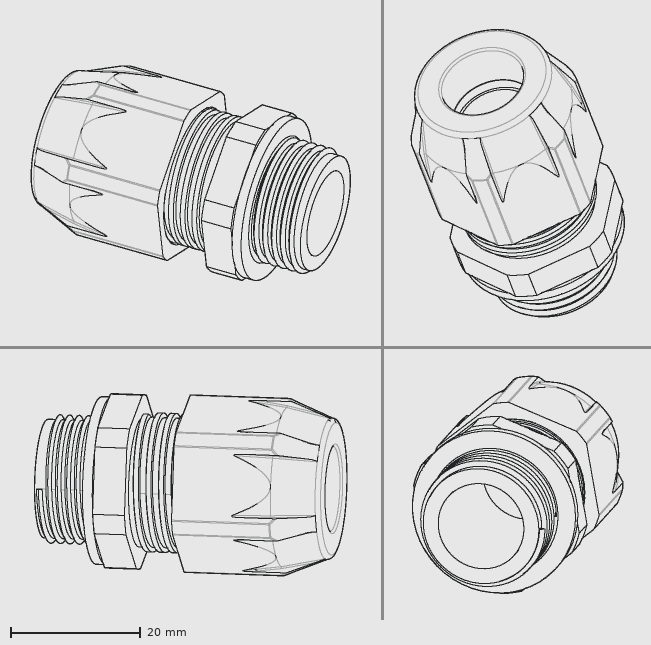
import cadquery as cq
import math

overall_length = 45.4
hex_flats = 24.98
hex_turn = 10.0
flat_angle = 60.0
corner_count = 6

cap_length = 22.95
cap_corner_radius = 13.75
cap_nose_radius = 11.0
cap_nose_fillet = 0.73
cap_shoulder_x = 7.5
cap_hole_diameter = 13.15
cap_hole_fillet = 0.35
cap_edge_fillet = 0.45
cap_wall = 7.25
cap_bore_diameter = 22.05

hollow_tip_x = 14.08
hollow_half_width = 4.9
hollow_wall_slope = 12.0
hollow_fillet = 0.23

neck_diameter = 20.15
neck_start_x = 10.9
hex_start_x = 30.4
hex_end_x = 35.4
hex_corner_radius = 13.55
collar_diameter = 20.45
entry_diameter = 18.45
body_bore_diameter = 13.65

gasket_diameter = 26.0
gasket_end_x = 37.05

neck_thread_diameter = 21.6
neck_thread_pitch = 2.0
neck_thread_base = 1.0
neck_thread_crest = 0.8
neck_thread_turns = 7
neck_thread_end_x = 29.55
runout_start_y = 0.45
runout_end_y = -1.73

entry_thread_diameter = 20.0
entry_thread_pitch = 1.5
entry_thread_base = 0.9
entry_thread_start_x = 37.15
entry_thread_turns = 5
entry_thread_start_turn = -90.0

seal_diameter = 16.8
seal_hole_diameter = 13.15
seal_end_x = 16.35
seal_face_x = 8.85
seal_face_diameter = 11.9
seal_rim_x = 9.1

joint_gap = 0.1

thread_sink = 0.15
overlap = 0.45


def cylinder(start_x, end_x, diameter):
    return cq.Workplane("YZ").workplane(offset=start_x).circle(diameter / 2).extrude(end_x - start_x)


def revolved(points):
    """Turn an (x, radius) outline about the X axis."""
    return cq.Workplane("XY").polyline(points).close().revolve(360, (0, 0, 0), (1, 0, 0))


def rounded_hexagon(start_x, end_x, corner_radius):
    """Hexagonal prism whose corners are cut to a common cylinder."""
    prism = (
        cq.Workplane("YZ")
        .workplane(offset=start_x)
        .polygon(corner_count, hex_flats / math.cos(math.radians(flat_angle / 2)))
        .extrude(end_x - start_x)
        .rotate((0, 0, 0), (1, 0, 0), flat_angle / 2 + hex_turn)
    )
    return prism.intersect(cylinder(start_x, end_x, 2 * corner_radius))


def thread_ridge(start_x, turns, pitch, root_diameter, crest_diameter, base_width, crest_width, start_turn):
    """Right-handed ridge that starts above the axis, turned by start_turn degrees about X."""
    root = root_diameter / 2
    crest = crest_diameter / 2
    flank = (base_width - crest_width) / 2 / (crest - root)
    foot = root - thread_sink
    foot_half = base_width / 2 + flank * thread_sink
    outline = [(foot, -foot_half), (crest, -crest_width / 2)]
    if crest_width > 0:
        outline.append((crest, crest_width / 2))
    outline.append((foot, foot_half))
    path = cq.Wire.makeHelix(pitch, turns * pitch, root)
    ridge = cq.Workplane("XZ").polyline(outline).close().sweep(cq.Workplane(path), isFrenet=True)
    return (
        ridge.rotate((0, 0, 0), (0, 1, 0), 90)
        .rotate((0, 0, 0), (1, 0, 0), 180 + start_turn)
        .translate((start_x, 0, 0))
    )


def nose_hollow():
    """Cutter for the hollow on the +Y flat: two cones as floor, two sloping planes as walls."""
    flat = hex_flats / 2
    tip_radius = math.hypot(flat, hollow_half_width)
    tip_slope = (tip_radius - flat) / (hollow_tip_x - cap_shoulder_x)
    back_x = hollow_tip_x + 3 * overlap
    back_radius = tip_radius + tip_slope * (back_x - hollow_tip_x)
    outer_radius = cap_corner_radius + 5 * overlap
    outside_floor = revolved([
        (cap_nose_fillet, cap_nose_radius),
        (cap_shoulder_x, flat),
        (back_x, back_radius),
        (back_x, outer_radius),
        (cap_nose_fillet, outer_radius),
    ])
    wall_lean = math.tan(math.radians(hollow_wall_slope))
    top_y = cap_corner_radius + 2 * overlap
    top_half = hollow_half_width + (top_y - flat) * wall_lean
    bottom_half = hollow_half_width - flat * wall_lean
    between_walls = (
        cq.Workplane("YZ")
        .polyline([(0, -bottom_half), (top_y, -top_half), (top_y, top_half), (0, bottom_half)])
        .close()
        .extrude(back_x + overlap)
    )
    hollow = outside_floor.intersect(between_walls)
    floor_edges = []
    for edge in hollow.edges().vals():
        middle = edge.Center()
        radius = math.hypot(middle.y, middle.z)
        if abs(middle.z) > bottom_half and radius < back_radius and cap_nose_fillet < middle.x < back_x:
            floor_edges.append(edge)
    return hollow.newObject(floor_edges).fillet(hollow_fillet)


def cap_blank():
    """Solid cap nut: a rounded hexagon with a tapered and rounded nose."""
    turned_shape = (
        cq.Workplane("XY")
        .moveTo(0, 0)
        .lineTo(0, cap_nose_radius - cap_nose_fillet)
        .radiusArc((cap_nose_fillet, cap_nose_radius), cap_nose_fillet)
        .lineTo(cap_shoulder_x, cap_corner_radius)
        .lineTo(cap_length, cap_corner_radius)
        .lineTo(cap_length, 0)
        .close()
        .revolve(360, (0, 0, 0), (1, 0, 0))
    )
    blank = rounded_hexagon(0, cap_length, cap_corner_radius).intersect(turned_shape)
    lobe_edges = []
    for edge in blank.edges().vals():
        if 2 * cap_nose_fillet < edge.Center().x < cap_length - overlap:
            lobe_edges.append(edge)
    return blank.newObject(lobe_edges).fillet(cap_edge_fillet)


def make_cap():
    cap = cap_blank()
    hollow = nose_hollow()
    for i in range(corner_count):
        cap = cap.cut(hollow.rotate((0, 0, 0), (1, 0, 0), hex_turn + i * flat_angle))
    cap = cap.cut(cylinder(-overlap, cap_length, cap_hole_diameter))
    cap = cap.cut(cylinder(cap_wall, cap_length + overlap, cap_bore_diameter))
    hole_edge = cq.selectors.RadiusNthSelector(0)
    return cap.faces("<X").edges(hole_edge).fillet(cap_hole_fillet)


def neck_thread():
    """Square thread whose last end slopes down to the neck."""
    root = neck_diameter / 2
    crest = neck_thread_diameter / 2
    runout_turn = math.degrees(math.asin(-runout_end_y / root))
    ridge = thread_ridge(
        start_x=neck_thread_end_x - neck_thread_turns * neck_thread_pitch,
        turns=neck_thread_turns + runout_turn / 360,
        pitch=neck_thread_pitch,
        root_diameter=neck_diameter,
        crest_diameter=neck_thread_diameter,
        base_width=neck_thread_base,
        crest_width=neck_thread_crest,
        start_turn=0,
    )
    runout = (
        cq.Workplane("YZ")
        .workplane(offset=neck_thread_end_x - neck_thread_pitch / 2)
        .polyline([
            (runout_start_y, crest),
            (runout_end_y, math.sqrt(root ** 2 - runout_end_y ** 2)),
            (runout_end_y - overlap, root - 2 * overlap),
            (runout_end_y - overlap, crest + overlap),
            (runout_start_y, crest + overlap),
        ])
        .close()
        .extrude(neck_thread_pitch)
    )
    return ridge.cut(runout)


def entry_thread():
    """Sharp V thread."""
    return thread_ridge(
        start_x=entry_thread_start_x,
        turns=entry_thread_turns,
        pitch=entry_thread_pitch,
        root_diameter=entry_diameter,
        crest_diameter=entry_thread_diameter,
        base_width=entry_thread_base,
        crest_width=0,
        start_turn=entry_thread_start_turn,
    )


def make_body():
    body = (
        cylinder(neck_start_x, hex_end_x, neck_diameter)
        .union(rounded_hexagon(hex_start_x, hex_end_x, hex_corner_radius))
        .union(cylinder(hex_end_x, gasket_end_x, collar_diameter))
        .union(cylinder(gasket_end_x, overall_length, entry_diameter))
        .union(neck_thread())
        .union(entry_thread())
    )
    body = body.cut(cylinder(neck_start_x - overlap, seal_end_x, seal_diameter))
    return body.cut(cylinder(neck_start_x, overall_length + overlap, body_bore_diameter))


def make_gasket():
    gasket = cylinder(hex_end_x + joint_gap, gasket_end_x, gasket_diameter)
    return gasket.cut(cylinder(hex_end_x, gasket_end_x + overlap, collar_diameter))


def make_seal():
    seal_start_x = cap_wall + joint_gap
    return revolved([
        (seal_face_x, 0),
        (seal_face_x, seal_face_diameter / 2),
        (seal_rim_x, seal_hole_diameter / 2),
        (seal_start_x, seal_hole_diameter / 2),
        (seal_start_x, seal_diameter / 2),
        (seal_end_x, seal_diameter / 2),
        (seal_end_x, 0),
    ])


cap = make_cap()
body = make_body()
gasket = make_gasket()
seal = make_seal()

result = cq.Compound.makeCompound([cap.val(), body.val(), gasket.val(), seal.val()])